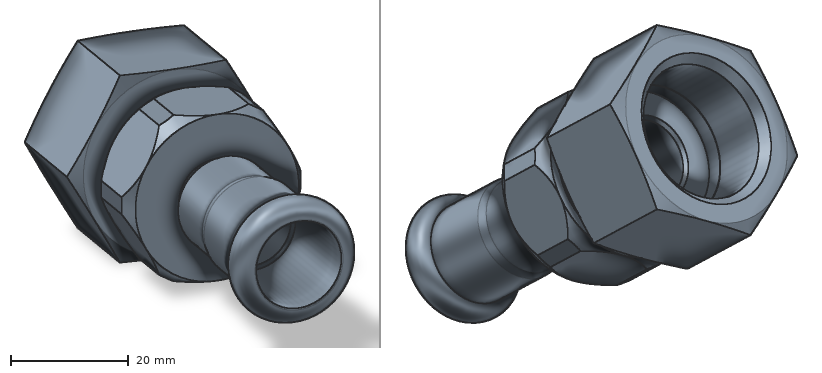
import cadquery as cq
import math

overall_length = 74.2
body_end = 19.95
collar_end = 22.85
nut_start = 24.4
nut_end = 38.5
sleeve_start = 41.85
flare_start = 52.4
flare_end = 54.2
bead_width = 6.5

body_across_flats = 34.0
body_face_diameter = 33.8
body_chamfer_length = 0.75

nut_across_flats = 30.2
nut_across_corners = 33.1
nut_chamfer_angle = 30.0

collar_diameter = 23.5
shoulder_start_diameter = 24.4
shoulder_end_diameter = 27.1
shoulder_cone_length = 1.3
neck_diameter = 14.2
sleeve_diameter = 17.2
socket_diameter = 18.2
bead_diameter = 22.8

thread_diameter = 24.1
thread_mouth_diameter = 27.15
thread_depth = 12.7
seat_diameter = 24.0
seat_depth = 15.9
bore_diameter = 14.0
bore_mouth_diameter = 15.3
socket_bore_diameter = 15.7


def revolve_profile(points):
    """Revolve an (x, radius) outline about the X axis."""
    return cq.Workplane("XY").polyline(points).close().revolve(360, (0, 0, 0), (1, 0, 0))


def cylinder(start, end, diameter):
    return cq.Workplane("YZ").workplane(offset=start).circle(diameter / 2).extrude(end - start)


def cone(start, end, start_diameter, end_diameter):
    return revolve_profile(
        [(start, 0), (start, start_diameter / 2), (end, end_diameter / 2), (end, 0)]
    )


def hexagon(start, end, across_flats):
    """Hexagonal prism with corners on +Y and -Y and flats on +Z and -Z."""
    across_corners = across_flats / math.cos(math.radians(30))
    return cq.Workplane("YZ").workplane(offset=start).polygon(6, across_corners).extrude(end - start)


def chamfer_envelope(start, end, face_diameter, full_diameter, chamfer_length):
    """Cylinder with both end edges turned to cones."""
    return revolve_profile(
        [
            (start, 0),
            (start, face_diameter / 2),
            (start + chamfer_length, full_diameter / 2),
            (end - chamfer_length, full_diameter / 2),
            (end, face_diameter / 2),
            (end, 0),
        ]
    )


def make_body():
    across_corners = body_across_flats / math.cos(math.radians(30))
    envelope = chamfer_envelope(
        0, body_end, body_face_diameter, across_corners, body_chamfer_length
    )
    return hexagon(0, body_end, body_across_flats).intersect(envelope)


def make_nut():
    prism = hexagon(nut_start, nut_end, nut_across_flats)
    corner_flats = hexagon(nut_start, nut_end, nut_across_corners).rotate((0, 0, 0), (1, 0, 0), 30)
    corner_rise = (nut_across_corners - nut_across_flats) / 2
    chamfer_length = corner_rise / math.tan(math.radians(nut_chamfer_angle))
    envelope_length = 1.5 * chamfer_length
    envelope_diameter = nut_across_flats + 3 * corner_rise
    envelope = chamfer_envelope(
        nut_start, nut_end, nut_across_flats, envelope_diameter, envelope_length
    )
    return prism.intersect(corner_flats).intersect(envelope)


def make_shoulder():
    """Collar behind the body and the conical shoulder that enters the nut."""
    cone_end = collar_end + shoulder_cone_length
    collar = cylinder(body_end, collar_end, collar_diameter)
    flank = cone(collar_end, cone_end, shoulder_start_diameter, shoulder_end_diameter)
    land = cylinder(cone_end, nut_start, shoulder_end_diameter)
    return collar.union(flank).union(land)


def make_tube():
    bead_radius = bead_width / 2
    bead_start = overall_length - bead_width
    bead_centre_radius = bead_diameter / 2 - bead_radius
    neck = cylinder(nut_end, sleeve_start, neck_diameter)
    sleeve = cylinder(sleeve_start, flare_start, sleeve_diameter)
    flare = cone(flare_start, flare_end, sleeve_diameter, socket_diameter)
    socket = cylinder(flare_end, overall_length - bead_radius, socket_diameter)
    bead = (
        cq.Workplane("XY")
        .moveTo(bead_start, 0)
        .lineTo(bead_start, bead_centre_radius)
        .threePointArc(
            (bead_start + bead_radius, bead_diameter / 2),
            (overall_length, bead_centre_radius),
        )
        .lineTo(overall_length, 0)
        .close()
        .revolve(360, (0, 0, 0), (1, 0, 0))
    )
    return neck.union(sleeve).union(flare).union(socket).union(bead)


def make_bore():
    """Threaded mouth, slightly narrower seat, chamfered through bore and the wider tube socket."""
    mouth_depth = (thread_mouth_diameter - thread_diameter) / 2
    bore_mouth_end = seat_depth + (bore_mouth_diameter - bore_diameter) / 2
    mouth = cone(0, mouth_depth, thread_mouth_diameter, thread_diameter)
    thread = cylinder(0, thread_depth, thread_diameter)
    seat = cylinder(thread_depth, seat_depth, seat_diameter)
    bore_mouth = cone(seat_depth, bore_mouth_end, bore_mouth_diameter, bore_diameter)
    bore = cylinder(0, overall_length, bore_diameter)
    socket_bore = cylinder(flare_end, overall_length, socket_bore_diameter)
    return mouth.union(thread).union(seat).union(bore_mouth).union(bore).union(socket_bore)


outside = make_body().union(make_shoulder()).union(make_nut()).union(make_tube())
result = outside.cut(make_bore())